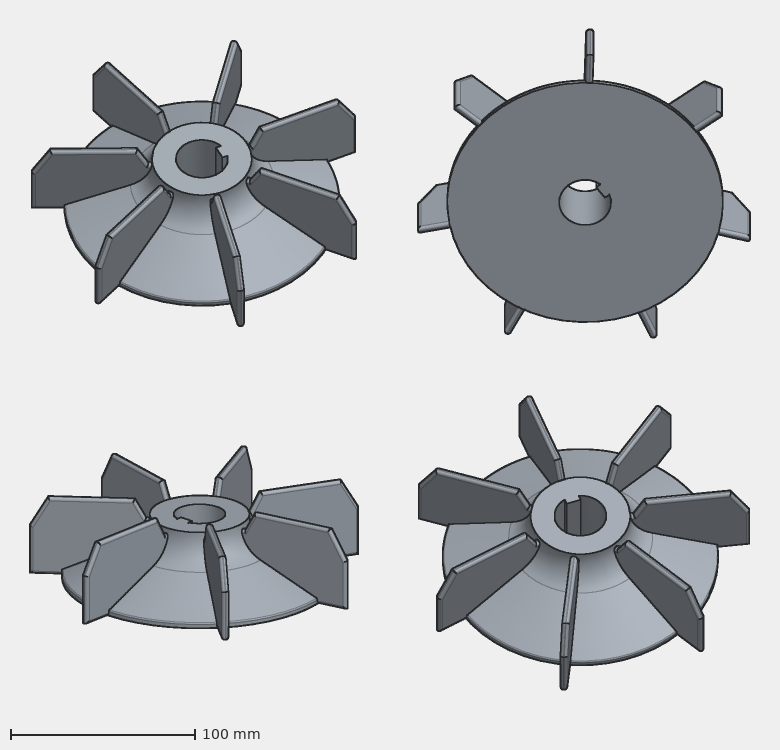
import cadquery as cq
import math

SPAN_X = 180.5
HEIGHT = 45.0

DISC_RADIUS = 75.0
RIM_ROUND = 1.0
CONE_ANGLE = math.radians(23.5)
HUB_TOP_RADIUS = 27.0
HUB_HEIGHT = 37.0
SWEEP_RADIUS = 20.0
BORE_RADIUS = 14.0
KEY_WIDTH = 8.1
KEY_FACE_Y = 10.5

BLADE_COUNT = 7
BLADE_PITCH = 360 / BLADE_COUNT
FIRST_BLADE_ANGLE = 90
BLADE_THICKNESS = 4.0
BLADE_ROUND = 1.8
TIP_WALL_HEIGHT = 28.0
TIP_SLOPE_WIDTH = 10.1
INNER_TOP_RADIUS = 35.2
INNER_FOOT_RADIUS = 29.0
INNER_FOOT_HEIGHT = 34.0
BLADE_ROOT_RADIUS = 19.9

WIDEST_ANGLE = math.radians(FIRST_BLADE_ANGLE - 2 * BLADE_PITCH)
FLAT_HALF_THICKNESS = BLADE_THICKNESS / 2 - BLADE_ROUND
ROUND_CENTRE_X = SPAN_X / 2 - BLADE_ROUND
TIP_RADIUS = BLADE_ROUND + (
    ROUND_CENTRE_X - FLAT_HALF_THICKNESS * abs(math.sin(WIDEST_ANGLE))
) / math.cos(WIDEST_ANGLE)


def sweep_point(angle):
    """Point (radius, height) on the concave sweep, at an angle down from its upright top."""
    return (
        HUB_TOP_RADIUS + SWEEP_RADIUS * (1 - math.cos(angle)),
        HUB_HEIGHT - SWEEP_RADIUS * math.sin(angle),
    )


def make_blank():
    """Hub without its bore: disc, cone and boss revolved around Z."""
    sweep_angle = math.pi / 2 - CONE_ANGLE
    cone_top_radius, cone_top_height = sweep_point(sweep_angle)
    rim_height = cone_top_height - (DISC_RADIUS - cone_top_radius) * math.tan(CONE_ANGLE)
    blank = (
        cq.Workplane("XZ")
        .lineTo(DISC_RADIUS, 0)
        .lineTo(DISC_RADIUS, rim_height)
        .lineTo(cone_top_radius, cone_top_height)
        .threePointArc(sweep_point(sweep_angle / 2), (HUB_TOP_RADIUS, HUB_HEIGHT))
        .lineTo(0, HUB_HEIGHT)
        .close()
        .revolve(360, (0, 0, 0), (0, 1, 0))
    )
    return blank.faces("%CONE").edges("%CIRCLE").edges("<Z").fillet(RIM_ROUND)


def make_hub(blank):
    """Bore the hub, leaving the key standing inward on the +Y side."""
    bore = cq.Workplane("XY").circle(BORE_RADIUS).extrude(HUB_HEIGHT)
    key = (
        cq.Workplane("XY")
        .rect(KEY_WIDTH, BORE_RADIUS, centered=(True, False))
        .extrude(HUB_HEIGHT)
        .translate((0, KEY_FACE_Y, 0))
    )
    return blank.cut(bore.cut(key))


def make_blade(blank):
    """Blade along +X with all its free edges rounded and its root trimmed to the hub."""
    plate = (
        cq.Workplane("XZ")
        .moveTo(BLADE_ROOT_RADIUS, 0)
        .lineTo(TIP_RADIUS, 0)
        .lineTo(TIP_RADIUS, TIP_WALL_HEIGHT)
        .lineTo(TIP_RADIUS - TIP_SLOPE_WIDTH, HEIGHT)
        .lineTo(INNER_TOP_RADIUS, HEIGHT)
        .lineTo(INNER_FOOT_RADIUS, INNER_FOOT_HEIGHT)
        .lineTo(BLADE_ROOT_RADIUS, INNER_FOOT_HEIGHT)
        .close()
        .extrude(BLADE_THICKNESS / 2, both=True)
    )
    rounded = plate.faces("<Y or >Y").edges().fillet(BLADE_ROUND)
    return rounded.cut(blank)


hub_blank = make_blank()
hub = make_hub(hub_blank)

blade = make_blade(hub_blank)
blades = []
for index in range(BLADE_COUNT):
    angle = FIRST_BLADE_ANGLE + index * BLADE_PITCH
    blades.append(blade.rotate((0, 0, 0), (0, 0, 1), angle).solids().val())

result = cq.Compound.makeCompound([hub.solids().val(), *blades])